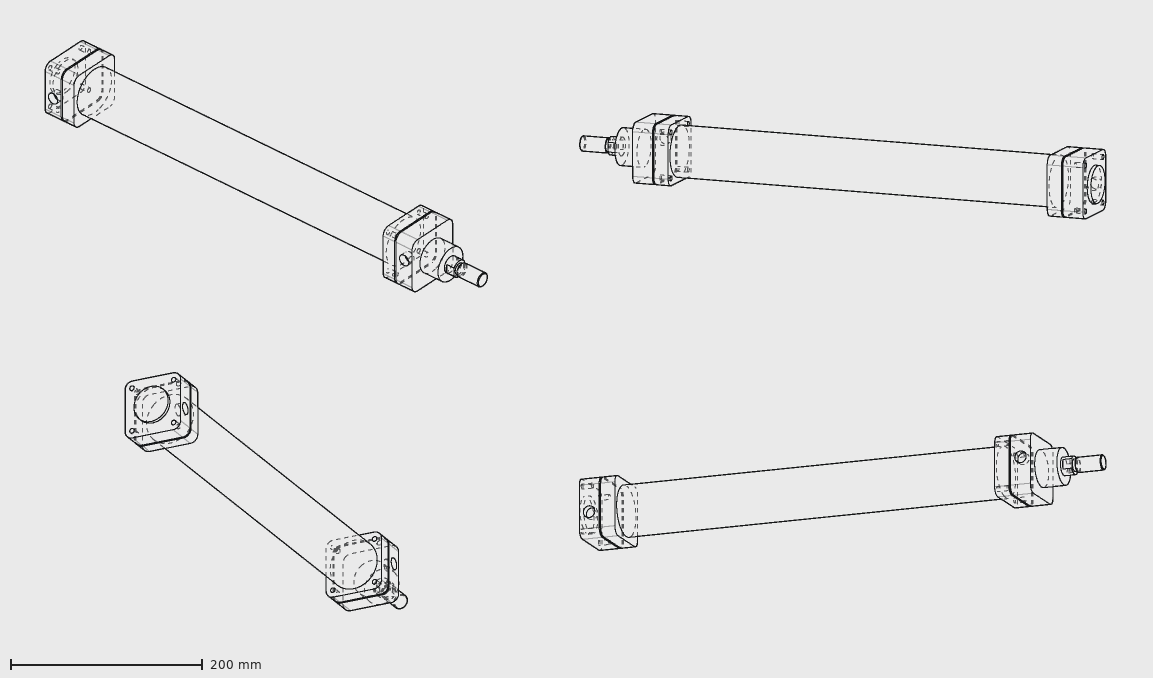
import cadquery as cq

LENGTH = 579.0
HEAD_SIZE = 65.0
CORNER_RADIUS = 8.5

BOSS_LENGTH = 4.0
CAP_LENGTH = 23.0
FLANGE_LENGTH = 17.0
HUB_LENGTH = 25.0
SHOULDER_LENGTH = 2.5
FLATS_LENGTH = 10.0
NECK_LENGTH = 3.5
TIP_LENGTH = 29.0

TUBE_DIAMETER = 55.0
HUB_DIAMETER = 40.0
ROD_DIAMETER = 19.5
ROD_FLATS = 17.0
NECK_DIAMETER = 13.5
TIP_DIAMETER = 16.0

JOINT_CHAMFER = 0.85
TIP_CHAMFER = 0.85

BOLT_DIAMETER = 5.0
BOLT_SPACING = 48.5
BOLT_DEPTH = 11.5

PORT_DIAMETER = 13.0
PORT_DEPTH = 8.5
PORT_OFFSET = 6.0
PORT_INSET = 11.0

REAR_FACE = BOSS_LENGTH
REAR_JOINT = REAR_FACE + CAP_LENGTH
TUBE_START = REAR_JOINT + FLANGE_LENGTH
TIP_START = LENGTH - TIP_LENGTH
NECK_START = TIP_START - NECK_LENGTH
FLATS_START = NECK_START - FLATS_LENGTH
HUB_END = FLATS_START - SHOULDER_LENGTH
FRONT_FACE = HUB_END - HUB_LENGTH
FRONT_JOINT = FRONT_FACE - CAP_LENGTH
TUBE_END = FRONT_JOINT - FLANGE_LENGTH


def section_plane(x):
    """Workplane across the axis, facing +X."""
    return cq.Workplane("YZ", origin=(x, 0, 0))


def cylinder(start, end, diameter):
    """Round bar on the axis."""
    return section_plane(start).circle(diameter / 2).extrude(end - start)


def head_block(start, length, joint_side):
    """Square block with rounded corners and a chamfered rim on its joint face."""
    block = section_plane(start).rect(HEAD_SIZE, HEAD_SIZE).extrude(length)
    block = block.edges("|X").fillet(CORNER_RADIUS)
    return block.faces(joint_side).chamfer(JOINT_CHAMFER)


def bolt_hole_cutter(start):
    """Four bars for blind bolt holes that run from a -X face."""
    corners = section_plane(start).rect(BOLT_SPACING, BOLT_SPACING, forConstruction=True).vertices()
    return corners.circle(BOLT_DIAMETER / 2).extrude(BOLT_DEPTH)


def port_cutter(x, z):
    """Bar for a blind port in the -Y side."""
    port_floor = cq.Workplane("XZ", origin=(x, PORT_DEPTH - HEAD_SIZE / 2, z))
    return port_floor.circle(PORT_DIAMETER / 2).extrude(PORT_DEPTH)


def make_rear_cap():
    """Rear cap with its centring boss, bolt holes and port."""
    cap = head_block(REAR_FACE, CAP_LENGTH, ">X")
    cap = cap.union(cylinder(0, REAR_FACE, HUB_DIAMETER))
    cap = cap.cut(bolt_hole_cutter(REAR_FACE))
    return cap.cut(port_cutter(REAR_FACE + PORT_INSET, -PORT_OFFSET))


def make_front_cap():
    """Front cap with its rod hub and port."""
    cap = head_block(FRONT_JOINT, CAP_LENGTH, "<X")
    cap = cap.union(cylinder(FRONT_FACE, HUB_END, HUB_DIAMETER))
    return cap.cut(port_cutter(FRONT_FACE - PORT_INSET, PORT_OFFSET))


def make_rod():
    """Exposed rod end: shoulder, wrench flats, neck and chamfered tip."""
    shoulder = cylinder(HUB_END, FLATS_START, ROD_DIAMETER)
    flats_bar = section_plane(FLATS_START).rect(ROD_FLATS, ROD_DIAMETER).extrude(FLATS_LENGTH)
    flats = cylinder(FLATS_START, NECK_START, ROD_DIAMETER).intersect(flats_bar)
    neck = cylinder(NECK_START, TIP_START, NECK_DIAMETER)
    tip = cylinder(TIP_START, LENGTH, TIP_DIAMETER).faces(">X").chamfer(TIP_CHAMFER)
    return shoulder.union(flats).union(neck).union(tip)


rear_cap = make_rear_cap()
rear_flange = head_block(REAR_JOINT, FLANGE_LENGTH, "<X")
tube = cylinder(TUBE_START, TUBE_END, TUBE_DIAMETER)
front_flange = head_block(TUBE_END, FLANGE_LENGTH, ">X").cut(bolt_hole_cutter(TUBE_END))
front_cap = make_front_cap()
rod = make_rod()

result = cq.Compound.makeCompound([
    rear_cap.val(),
    rear_flange.val(),
    tube.val(),
    front_flange.val(),
    front_cap.val(),
    rod.val(),
])